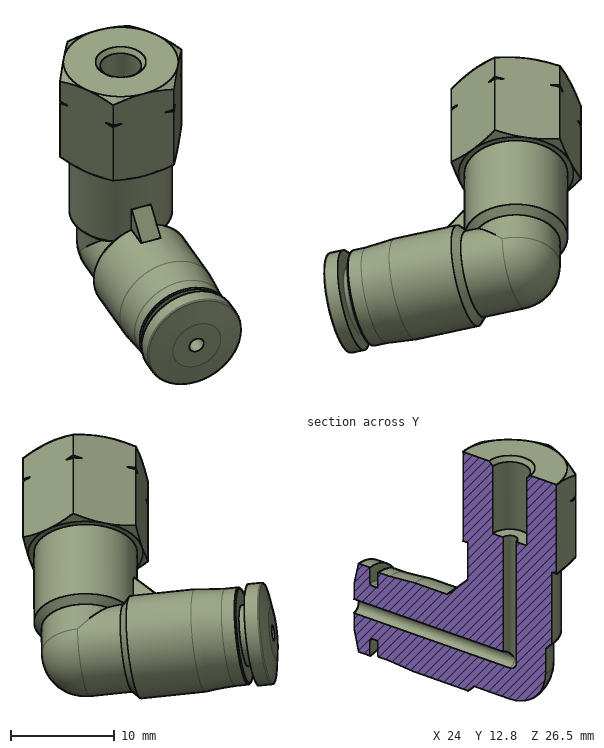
import cadquery as cq
import math


barrel_radius = 10.0 / 2
elbow_radius = 4.27
total_height = 26.5
nut_top = total_height - barrel_radius
upper_barrel_start = 2.78
side_barrel_start = 4.21
barrel_chamfer = barrel_radius - elbow_radius

across_flats = 11.1
corner_radius = across_flats / math.sqrt(3)
nut_height = 10.0
nut_bottom = nut_top - nut_height
corner_bevel_height = 0.42
groove_drop = 2.97
groove_depth = 0.4
groove_half_width = 0.13

port_end = 24.0 - across_flats / 2
taper_start = 11.3
taper_end = 14.23
barrel_end = 15.65
barrel_end_radius = 9.5 / 2
barrel_edge_chamfer = 0.13
neck_radius = 5.95 / 2
collar_start = 16.54
collar_radius = 9.9 / 2
collar_fillet = 0.3
collar_face_radius = 2.52
collar_bevel = 0.5
collar_edge_round = 0.13

web_width = 2.01
web_leg = 2.4

nut_bore_radius = 3.98 / 2
nut_bore_depth = 7.95
nut_bore_chamfer = 0.45
passage_radius = 1.5 / 2


def revolve_about_z(outline):
    """Revolve a closed (radius, z) outline about the nut axis."""
    return cq.Workplane("XZ").polyline(outline).close().revolve(360, (0, 0, 0), (0, 1, 0))


def rounded_elbow(radius, up_length, side_length):
    """Two round arms that meet at a spherical outer corner."""
    upright = cq.Workplane("XY").circle(radius).extrude(up_length)
    sideways = cq.Workplane("YZ").circle(radius).extrude(side_length)
    return upright.union(sideways).union(cq.Workplane("XY").sphere(radius))


def upper_barrel():
    return revolve_about_z([
        (0, upper_barrel_start),
        (elbow_radius, upper_barrel_start),
        (barrel_radius, upper_barrel_start + barrel_chamfer),
        (barrel_radius, nut_bottom),
        (0, nut_bottom),
    ])


def hex_nut():
    """Hexagon with bevelled corners and a V groove that cuts only its corners."""
    hexagon = (
        cq.Workplane("XY", origin=(0, 0, nut_bottom))
        .polygon(6, 2 * corner_radius)
        .extrude(nut_height)
        .rotate((0, 0, 0), (0, 0, 1), 30)
    )
    flat_radius = across_flats / 2
    bevelled_envelope = revolve_about_z([
        (0, nut_bottom),
        (flat_radius, nut_bottom),
        (corner_radius, nut_bottom + corner_bevel_height),
        (corner_radius, nut_top - corner_bevel_height),
        (flat_radius, nut_top),
        (0, nut_top),
    ])
    groove_z = nut_top - groove_drop
    groove = revolve_about_z([
        (corner_radius - groove_depth, groove_z),
        (corner_radius, groove_z - groove_half_width),
        (corner_radius, groove_z + groove_half_width),
    ])
    return hexagon.intersect(bevelled_envelope).cut(groove)


def tube_port():
    """Side barrel, neck and release collar, revolved about the X axis."""
    bevel_start = port_end - collar_bevel
    profile = (
        cq.Workplane("XZ")
        .moveTo(side_barrel_start, 0)
        .lineTo(side_barrel_start, elbow_radius)
        .lineTo(side_barrel_start + barrel_chamfer, barrel_radius)
        .lineTo(taper_start, barrel_radius)
        .lineTo(taper_end, barrel_end_radius)
        .lineTo(barrel_end - barrel_edge_chamfer, barrel_end_radius)
        .lineTo(barrel_end, barrel_end_radius - barrel_edge_chamfer)
        .lineTo(barrel_end, neck_radius)
        .lineTo(collar_start - collar_fillet, neck_radius)
        .radiusArc((collar_start, neck_radius + collar_fillet), -collar_fillet)
        .lineTo(collar_start, collar_radius)
        .lineTo(bevel_start - collar_edge_round, collar_radius)
        .radiusArc((bevel_start, collar_radius - collar_edge_round), collar_edge_round)
        .lineTo(port_end, collar_face_radius)
        .lineTo(port_end, 0)
        .close()
    )
    return profile.revolve(360, (0, 0, 0), (1, 0, 0))


def corner_web():
    """Triangular web in the inside corner, rooted in the two arms."""
    tip = barrel_radius + web_leg
    return (
        cq.Workplane("XZ")
        .polyline([(0, 0), (tip, barrel_radius), (barrel_radius, tip)])
        .close()
        .extrude(web_width / 2, both=True)
    )


def nut_bore():
    return revolve_about_z([
        (0, nut_top - nut_bore_depth),
        (nut_bore_radius, nut_top - nut_bore_depth),
        (nut_bore_radius, nut_top - nut_bore_chamfer),
        (nut_bore_radius + nut_bore_chamfer, nut_top),
        (0, nut_top),
    ])


result = (
    rounded_elbow(elbow_radius, upper_barrel_start, side_barrel_start)
    .union(upper_barrel())
    .union(hex_nut())
    .union(tube_port())
    .union(corner_web())
    .cut(nut_bore())
    .cut(rounded_elbow(passage_radius, nut_top, port_end))
)